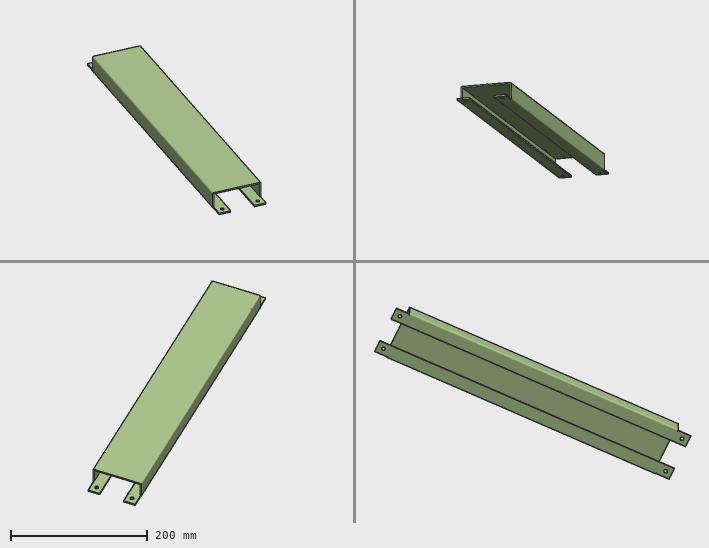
import cadquery as cq

length = 475.0
width = 78.0
height = 26.0

thickness = 2.5
outer_bend_radius = thickness

lip_width = 20.0
tab_length = 21.0
tab_setback = 1.5
hole_diameter = 5.0
hole_end_inset = 10.0

body_length = length - 2 * tab_length
tab_width = lip_width - tab_setback
tab_center_x = (length - tab_length) / 2
tab_center_y = width / 2 - tab_setback - tab_width / 2
hole_offset_x = length / 2 - hole_end_inset - tab_center_x


def bar(bar_length, bar_width, bar_height):
    """Bar along X, centred in X and Y, standing on Z = 0."""
    return cq.Workplane("XY").box(bar_length, bar_width, bar_height, centered=(True, True, False))


def make_channel():
    """Hollow bent channel with an open slot between its two bottom lips."""
    outside = bar(body_length, width, height).edges("|X").fillet(outer_bend_radius)
    inside = bar(body_length, width - 2 * thickness, height - 2 * thickness)
    slot = bar(body_length, width - 2 * lip_width, 2 * thickness)
    return outside.cut(inside.translate((0, 0, thickness))).cut(slot)


def make_tab(end, side):
    """Flat tab with one mounting hole, butted against the end of a lip."""
    tab = (
        bar(tab_length, tab_width, thickness)
        .faces(">Z")
        .workplane()
        .center(end * hole_offset_x, 0)
        .hole(hole_diameter)
    )
    return tab.translate((end * tab_center_x, side * tab_center_y, 0))


result = make_channel()
for end in (-1, 1):
    for side in (-1, 1):
        result = result.union(make_tab(end, side))